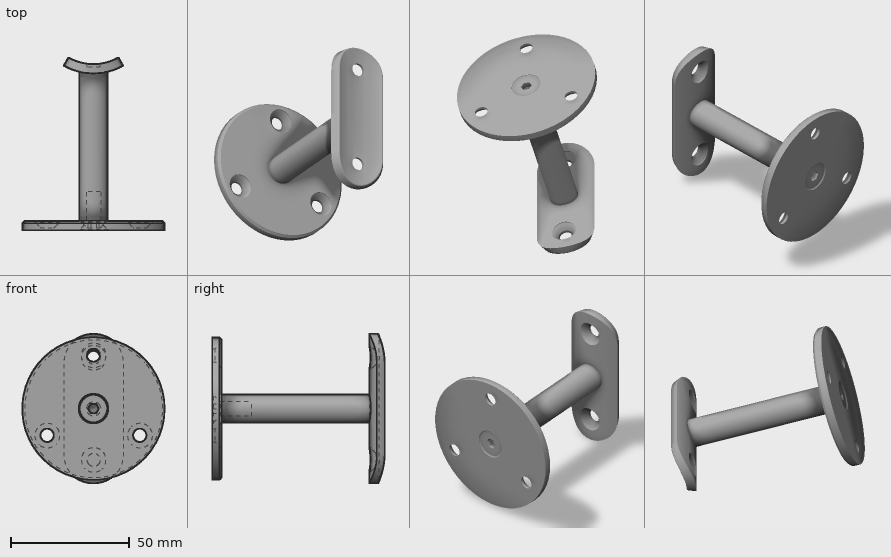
import cadquery as cq
import math


HOLE_RADIUS = 2.75
SINK_RADIUS = 5.2
SINK_MOUTH_DEPTH = 0.4
SINK_BOTTOM_DEPTH = SINK_MOUTH_DEPTH + SINK_RADIUS - HOLE_RADIUS

PLATE_RADIUS = 30.0
PLATE_THICKNESS = 4.0
PLATE_CHAMFER = 1.0
FIXING_HOLE_COUNT = 3
FIXING_CIRCLE_RADIUS = 22.5
FIRST_FIXING_ANGLE = 90.0

SCREW_RADIUS = 3.0
SCREW_LENGTH = 16.0
SCREW_RECESS = 0.5
SCREW_END = SCREW_RECESS + SCREW_LENGTH
HEAD_RADIUS = 5.8
HEAD_HEIGHT = HEAD_RADIUS - SCREW_RADIUS
MOUTH_RADIUS = 6.25
MOUTH_DEPTH = 0.25
HEX_ACROSS_FLATS = 4.0
HEX_ACROSS_CORNERS = HEX_ACROSS_FLATS / math.cos(math.pi / 6)
HEX_DEPTH = 2.5
HEX_CONE_HEIGHT = 1.2

RAIL_RADIUS = 21.2
SADDLE_THICKNESS = 4.0
SADDLE_OUTER_RADIUS = RAIL_RADIUS + SADDLE_THICKNESS
SADDLE_FRONT = 66.0
RAIL_AXIS_Y = SADDLE_FRONT + SADDLE_OUTER_RADIUS
SADDLE_WIDTH = 25.0
SADDLE_HEIGHT = 63.0
SADDLE_END_HEIGHT = 12.5
SADDLE_STRAIGHT_HALF = SADDLE_HEIGHT / 2 - SADDLE_END_HEIGHT
SADDLE_HALF_ANGLE = math.asin(SADDLE_WIDTH / 2 / SADDLE_OUTER_RADIUS)
SADDLE_EDGE_FILLET = 0.5
END_CURVE_STEPS = 12
SADDLE_HOLE_OFFSET = 21.5

POST_RADIUS = 6.0


def plane_at(y):
    """Plane across the post, with X along +X and its normal along +Y."""
    return cq.Workplane(cq.Plane(origin=(0, y, 0), xDir=(1, 0, 0), normal=(0, 1, 0)))


def turned(*profile):
    """Solid turned about the Y axis from a closed profile of (radius, y) points."""
    return cq.Workplane("XY").polyline(profile).close().revolve(360, (0, 0, 0), (0, 1, 0))


def countersunk_hole(mouth_y, end_y):
    """Cutter for a screw hole entered at mouth_y and running along Y to end_y."""
    direction = math.copysign(1, end_y - mouth_y)
    return turned(
        (0, mouth_y),
        (SINK_RADIUS, mouth_y),
        (SINK_RADIUS, mouth_y + direction * SINK_MOUTH_DEPTH),
        (HOLE_RADIUS, mouth_y + direction * SINK_BOTTOM_DEPTH),
        (HOLE_RADIUS, end_y),
        (0, end_y),
    )


def rail_cylinder(radius):
    """Cylinder about the handrail axis, longer than the saddle."""
    start = cq.Workplane("XY", origin=(0, RAIL_AXIS_Y, -SADDLE_HEIGHT))
    return start.circle(radius).extrude(2 * SADDLE_HEIGHT)


def make_base_plate():
    plate = plane_at(0).circle(PLATE_RADIUS).extrude(PLATE_THICKNESS)
    plate = plate.faces(">Y").chamfer(PLATE_CHAMFER)

    fixing_hole = countersunk_hole(PLATE_THICKNESS, 0)
    for index in range(FIXING_HOLE_COUNT):
        angle = math.radians(FIRST_FIXING_ANGLE + index * 360 / FIXING_HOLE_COUNT)
        x = FIXING_CIRCLE_RADIUS * math.cos(angle)
        z = FIXING_CIRCLE_RADIUS * math.sin(angle)
        plate = plate.cut(fixing_hole.translate((x, 0, z)))

    screw_hole = turned(
        (0, 0),
        (MOUTH_RADIUS, 0),
        (MOUTH_RADIUS, MOUTH_DEPTH),
        (HEAD_RADIUS, SCREW_RECESS),
        (SCREW_RADIUS, SCREW_RECESS + HEAD_HEIGHT),
        (SCREW_RADIUS, PLATE_THICKNESS),
        (0, PLATE_THICKNESS),
    )
    return plate.cut(screw_hole)


def make_screw():
    screw = turned(
        (0, SCREW_RECESS),
        (HEAD_RADIUS, SCREW_RECESS),
        (SCREW_RADIUS, SCREW_RECESS + HEAD_HEIGHT),
        (SCREW_RADIUS, SCREW_END),
        (0, SCREW_END),
    )
    socket_floor = SCREW_RECESS + HEX_DEPTH
    socket = plane_at(SCREW_RECESS).polygon(6, HEX_ACROSS_CORNERS).extrude(HEX_DEPTH)
    socket_cone = turned(
        (0, socket_floor),
        (HEX_ACROSS_FLATS / 2, socket_floor),
        (0, socket_floor + HEX_CONE_HEIGHT),
    )
    return screw.cut(socket).cut(socket_cone)


def make_post():
    post = plane_at(PLATE_THICKNESS).circle(POST_RADIUS).extrude(RAIL_AXIS_Y - PLATE_THICKNESS)
    screw_hole = plane_at(0).circle(SCREW_RADIUS).extrude(SCREW_END)
    return post.cut(rail_cylinder(SADDLE_OUTER_RADIUS)).cut(screw_hole)


def saddle_outline(distance):
    """Outline with half-ellipse ends, in front of the rail axis and as wide as its distance allows."""
    half_width = distance * math.tan(SADDLE_HALF_ANGLE)
    y = RAIL_AXIS_Y - distance
    edges = []
    for side in (1, -1):
        end_points = []
        for step in range(END_CURVE_STEPS + 1):
            angle = math.pi * step / END_CURVE_STEPS
            x = side * half_width * math.cos(angle)
            z = side * (SADDLE_STRAIGHT_HALF + SADDLE_END_HEIGHT * math.sin(angle))
            end_points.append(cq.Vector(x, y, z))
        straight_start = cq.Vector(side * half_width, y, -side * SADDLE_STRAIGHT_HALF)
        edges.append(cq.Edge.makeLine(straight_start, end_points[0]))
        edges.append(cq.Edge.makeSpline(end_points))
    return cq.Wire.assembleEdges(edges)


def make_saddle():
    near_outline = saddle_outline(RAIL_RADIUS / 2)
    far_outline = saddle_outline(SADDLE_OUTER_RADIUS + SADDLE_THICKNESS)
    wedge = cq.Workplane(cq.Solid.makeLoft([near_outline, far_outline], True))
    saddle = wedge.intersect(rail_cylinder(SADDLE_OUTER_RADIUS)).cut(rail_cylinder(RAIL_RADIUS))
    saddle = saddle.faces("%CYLINDER").faces(">Y").edges().fillet(SADDLE_EDGE_FILLET)

    hole = countersunk_hole(SADDLE_FRONT, RAIL_AXIS_Y)
    for side in (1, -1):
        saddle = saddle.cut(hole.translate((0, 0, side * SADDLE_HOLE_OFFSET)))
    return saddle


base_plate = make_base_plate()
screw = make_screw()
post = make_post()
saddle = make_saddle()

result = cq.Compound.makeCompound([base_plate.val(), screw.val(), post.val(), saddle.val()])